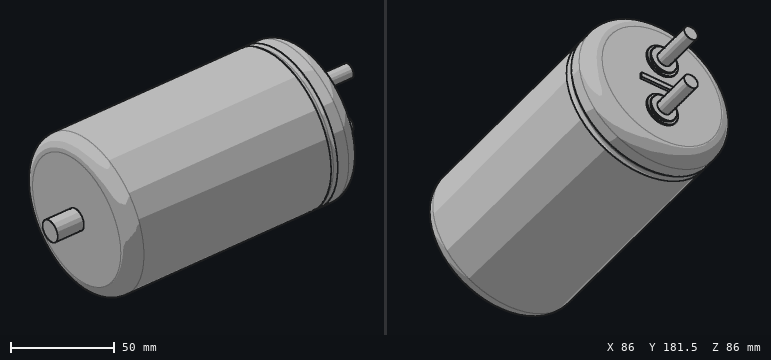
import cadquery as cq
import math

overall_length = 181.5

can_diameter = 86.0
corner_radius = 8.0
groove_depth = 1.3
groove_offset = 16.3
groove_front_width = 2.2
groove_back_width = 1.8

stud_diameter = 12.0
stud_length = 16.0

terminal_diameter = 8.0
terminal_length = 25.0
terminal_pitch = 31.8
base_washer_diameter = 18.0
top_washer_diameter = 15.0
washer_thickness = 1.0

bar_length = 25.0
bar_width = 2.9
bar_height = 1.5

can_length = overall_length - stud_length - terminal_length
can_radius = can_diameter / 2
can_front = 0.0
can_back = can_front + can_length


def cylinder(diameter, length, start_y, z=0.0):
    """Solid cylinder running from start_y towards +Y."""
    axis_plane = cq.Plane(origin=(0, start_y, z), xDir=(1, 0, 0), normal=(0, 1, 0))
    return cq.Workplane(axis_plane).circle(diameter / 2).extrude(length)


def groove_side(bottom_y, width):
    """Ring whose arc rises from the groove bottom to the can surface; width is signed along Y."""
    bottom_radius = can_radius - groove_depth
    outside_radius = can_radius + groove_depth
    rim_y = bottom_y + width
    arc_radius = (width**2 + groove_depth**2) / (2 * groove_depth)
    half_angle = math.asin(width / arc_radius) / 2
    arc_middle = (
        bottom_radius + arc_radius * (1 - math.cos(half_angle)),
        bottom_y + arc_radius * math.sin(half_angle),
    )
    return (
        cq.Workplane("XY")
        .moveTo(outside_radius, bottom_y)
        .lineTo(bottom_radius, bottom_y)
        .threePointArc(arc_middle, (can_radius, rim_y))
        .lineTo(outside_radius, rim_y)
        .close()
        .revolve(360, (0, 0, 0), (0, 1, 0))
    )


def make_can():
    """Rounded can with a shallow crimp groove near the terminal end."""
    can = cylinder(can_diameter, can_length, can_front).edges().fillet(corner_radius)
    bottom_y = can_back - groove_offset
    can = can.cut(groove_side(bottom_y, groove_back_width))
    return can.cut(groove_side(bottom_y, -groove_front_width))


def make_terminal(z):
    """Pin standing on two stacked washers."""
    base_washer = cylinder(base_washer_diameter, washer_thickness, can_back, z)
    top_washer = cylinder(top_washer_diameter, 2 * washer_thickness, can_back, z)
    pin = cylinder(terminal_diameter, terminal_length, can_back, z)
    return base_washer.union(top_washer).union(pin)


def make_bar():
    """Low rectangular bar across the middle of the terminal face."""
    return cq.Workplane("XY").box(bar_length, bar_height, bar_width).translate(
        (0, can_back + bar_height / 2, 0)
    )


result = make_can().union(cylinder(stud_diameter, stud_length, can_front - stud_length))
for side in (-1, 1):
    result = result.union(make_terminal(side * terminal_pitch / 2))
result = result.union(make_bar())